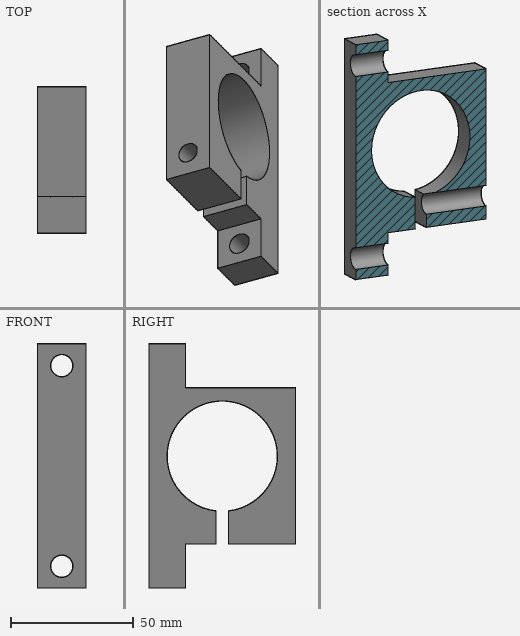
import cadquery as cq

thickness = 20.0
flange_height = 100.0
flange_depth = 15.0
mount_hole_diameter = 9.0
mount_hole_end_distance = 9.0

overall_depth = 60.0
body_height = 64.0

bore_diameter = 45.0
bore_top_wall = 5.5
slot_width = 5.0

screw_hole_diameter = 8.5
screw_hole_floor_distance = 10.0

front_y = -overall_depth / 2
back_y = overall_depth / 2
body_top_z = body_height / 2
body_bottom_z = -body_height / 2
bore_center_z = body_top_z - bore_top_wall - bore_diameter / 2
mount_hole_z = flange_height / 2 - mount_hole_end_distance
screw_hole_z = body_bottom_z + screw_hole_floor_distance


def hole_along_y(diameter, start_y, end_y, center_z):
    """Cylinder on the x = 0 plane running from start_y to end_y."""
    return cq.Workplane(
        cq.Solid.makeCylinder(
            diameter / 2,
            end_y - start_y,
            cq.Vector(0, start_y, center_z),
            cq.Vector(0, 1, 0),
        )
    )


def make_blank():
    """Flange and clamp body joined into a T-shaped block."""
    flange_center_y = front_y + flange_depth / 2
    flange = cq.Workplane().box(thickness, flange_depth, flange_height).translate((0, flange_center_y, 0))
    body = cq.Workplane().box(thickness, overall_depth, body_height)
    return flange.union(body)


def cut_bore_and_slot(part):
    bore = (
        cq.Workplane("YZ")
        .center(0, bore_center_z)
        .circle(bore_diameter / 2)
        .extrude(thickness / 2, both=True)
    )
    slot_height = bore_center_z - body_bottom_z
    slot_center_z = (bore_center_z + body_bottom_z) / 2
    slot = cq.Workplane().box(thickness, slot_width, slot_height).translate((0, 0, slot_center_z))
    return part.cut(bore).cut(slot)


def cut_mount_holes(part):
    for center_z in (-mount_hole_z, mount_hole_z):
        part = part.cut(hole_along_y(mount_hole_diameter, front_y, front_y + flange_depth, center_z))
    return part


def cut_screw_hole(part):
    return part.cut(hole_along_y(screw_hole_diameter, 0, back_y, screw_hole_z))


result = make_blank()
result = cut_bore_and_slot(result)
result = cut_mount_holes(result)
result = cut_screw_hole(result)